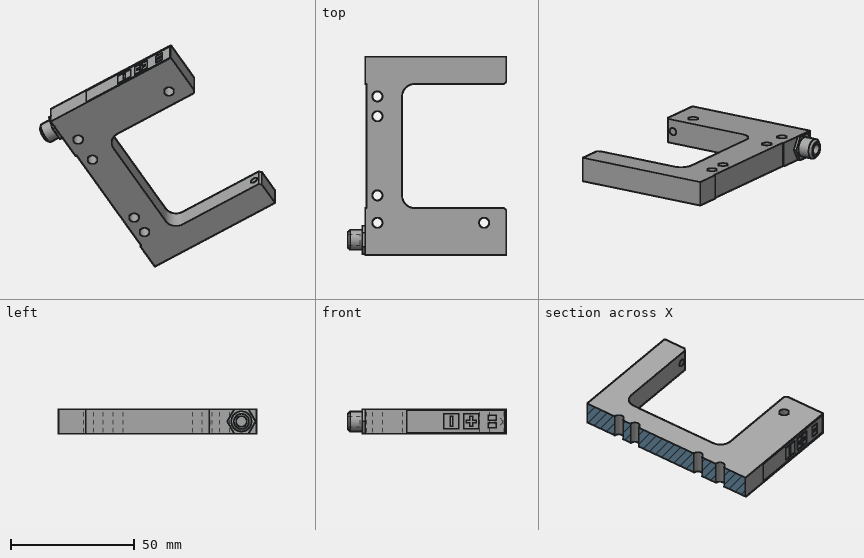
import cadquery as cq
import math

body_length = 57.0
body_width = 80.0
thickness = 10.0
mid_height = thickness / 2
lower_arm_width = 19.0
upper_arm_width = 11.0
web_width = 15.0
gap_fillet = 5.0
tip_chamfer = 1.0
back_relief = 0.5
gap_width = body_width - lower_arm_width - upper_arm_width
upper_arm_face = body_width - upper_arm_width

hole_diameter = 4.0
hole_row_x = 5.0
arm_hole_x = 48.0
arm_hole_y = 13.0
web_hole_ys = (24.1, 56.0, 64.0)

connector_y = 6.2
nut_across_flats = 9.9
nut_corner_diameter = nut_across_flats / math.cos(math.pi / 6)
nut_thickness = 1.2
plug_diameter = 8.2
plug_reach = 7.0
plug_chamfer = 1.0
bore_diameter = 4.3
bore_depth = 4.8

panel_start = 16.8
panel_end = 56.4
panel_margin = 0.5
button_size = 6.0
minus_x = 34.8
plus_x = 42.8
symbol_length = 4.0
symbol_stroke = 1.0
lamp_x = 51.3
lamp_length = 3.0
lamp_height = 2.1
lamp_offset = 1.5
relief_depth = 0.1

window_diameter = 3.0
window_x = 53.8


def make_body():
    blank = cq.Workplane("XY").box(body_length, body_width, thickness, centered=False)
    gap = (
        cq.Workplane("XY", origin=(web_width, lower_arm_width, 0))
        .box(body_length, gap_width, thickness, centered=False)
        .edges("|Z and <X")
        .fillet(gap_fillet)
    )
    relief = cq.Workplane("XY", origin=(0, lower_arm_width, 0)).box(
        back_relief, gap_width, thickness, centered=False
    )
    fork = blank.cut(gap).cut(relief)
    tip_edges = cq.selectors.BoxSelector(
        (body_length - 0.8, lower_arm_width - 0.8, -0.8),
        (body_length + 0.8, upper_arm_face + 0.8, thickness + 0.8),
    )
    return fork.edges("|Z").edges(tip_edges).chamfer(tip_chamfer)


def make_holes():
    points = [(hole_row_x, y) for y in (arm_hole_y, *web_hole_ys)]
    points.append((arm_hole_x, arm_hole_y))
    return cq.Workplane("XY").pushPoints(points).circle(hole_diameter / 2).extrude(thickness)


def make_connector():
    """Hexagon nut and hollow plug pointing to -X, with nut corners along Y."""
    back = cq.Workplane("YZ", origin=(0, connector_y, mid_height))
    nut = back.polygon(6, nut_corner_diameter).extrude(-nut_thickness)
    plug = back.circle(plug_diameter / 2).extrude(-plug_reach).faces("<X").chamfer(plug_chamfer)
    bore = (
        back.workplane(offset=-plug_reach)
        .circle(bore_diameter / 2)
        .extrude(bore_depth)
    )
    return nut.union(plug).cut(bore)


def side_plate(x, z, length, height):
    """Thin plate centred on (x, z), lying just inside the side face at Y = 0."""
    return cq.Workplane("XY").box(length, relief_depth, height).translate((x, relief_depth / 2, z))


def make_panel_recess():
    """Shallow panel recess with raised buttons and lamps, and symbols sunk in the buttons."""
    panel_length = panel_end - panel_start
    recess = side_plate(
        panel_start + panel_length / 2, mid_height, panel_length, thickness - 2 * panel_margin
    )
    for x in (minus_x, plus_x):
        recess = recess.cut(side_plate(x, mid_height, button_size, button_size))
        recess = recess.union(side_plate(x, mid_height, symbol_stroke, symbol_length))
    recess = recess.union(side_plate(plus_x, mid_height, symbol_length, symbol_stroke))
    for offset in (-lamp_offset, lamp_offset):
        recess = recess.cut(side_plate(lamp_x, mid_height + offset, lamp_length, lamp_height))
    return recess


def make_windows():
    """Shallow round recesses in the facing sides of both arms."""
    lower = cq.Workplane("XZ", origin=(window_x, lower_arm_width, mid_height))
    upper = cq.Workplane("XZ", origin=(window_x, upper_arm_face, mid_height))
    radius = window_diameter / 2
    return lower.circle(radius).extrude(relief_depth).union(upper.circle(radius).extrude(-relief_depth))


result = (
    make_body()
    .cut(make_holes())
    .union(make_connector())
    .cut(make_panel_recess())
    .cut(make_windows())
)